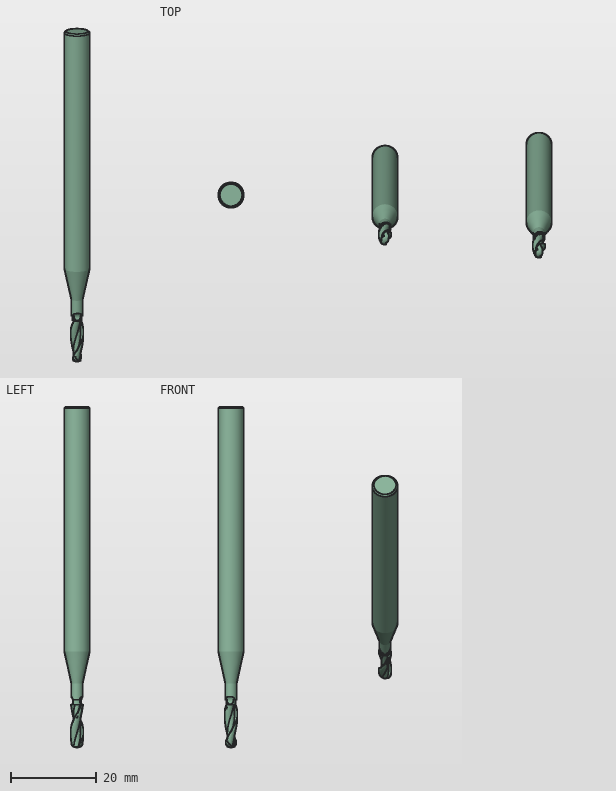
import cadquery as cq
import math

total_length = 80.0
shank_diameter = 6.0
shank_chamfer = 0.4
taper_top = 22.5
taper_bottom = 15.0
neck_diameter = 2.7
neck_end = 11.2
stub_diameter = 2.2
cutter_length = 10.1
cutter_diameter = 3.0
core_diameter = 1.7
helix_angle = 30.0
flute_count = 2
edge_angle_at_tip = 5.0
relief_angle = 100.0
relief_mid_radius = 1.4
rake_root_angle = 12.0
runout_radius = 1.2
runout_height = 11.0
runout_depth_center = 2.0
runout_angle = -102.0

cutter_radius = cutter_diameter / 2
core_radius = core_diameter / 2
helix_pitch = math.pi * cutter_diameter / math.tan(math.radians(helix_angle))


def polar(radius, angle):
    """Point at the given radius and angle in degrees."""
    return radius * math.cos(math.radians(angle)), radius * math.sin(math.radians(angle))


def make_flute_section():
    """Cross-section with one rounded relief and one rake face per cutting edge."""
    step = 360.0 / flute_count
    section = cq.Workplane("XY").moveTo(*polar(cutter_radius, edge_angle_at_tip))
    for index in range(flute_count):
        edge = edge_angle_at_tip + index * step
        next_edge = edge + step
        next_root = next_edge + rake_root_angle
        relief_end = edge + relief_angle
        section = section.threePointArc(
            polar(relief_mid_radius, edge + relief_angle / 2), polar(core_radius, relief_end)
        )
        section = section.threePointArc(
            polar(core_radius, (relief_end + next_root) / 2), polar(core_radius, next_root)
        )
        if index < flute_count - 1:
            section = section.lineTo(*polar(cutter_radius, next_edge))
    return section.close()


def make_cutter():
    """Fluted right-hand cutter with a ball nose."""
    twist = 360.0 * cutter_length / helix_pitch
    fluted = make_flute_section().twistExtrude(cutter_length, twist)
    ball_side = cutter_radius * math.sqrt(0.5)
    envelope = (
        cq.Workplane("XZ")
        .threePointArc((ball_side, cutter_radius - ball_side), (cutter_radius, cutter_radius))
        .lineTo(cutter_radius, cutter_length)
        .lineTo(0, cutter_length)
        .close()
        .revolve(360, (0, 0), (0, 1))
    )
    return fluted.intersect(envelope)


def make_runout(angle):
    """Horizontal round cutter that scoops the neck from the given direction."""
    return (
        cq.Workplane("XZ")
        .center(0, runout_height)
        .circle(runout_radius)
        .extrude(neck_diameter / 2, both=True)
        .rotate((0, 0, 0), (0, 0, 1), 90)
        .translate((0, runout_depth_center, 0))
        .rotate((0, 0, 0), (0, 0, 1), angle - 90)
    )


def make_shank():
    """Chamfered shank, taper and neck, with a thinner stub where the flutes run out."""
    shank_radius = shank_diameter / 2
    neck_radius = neck_diameter / 2
    stub_radius = stub_diameter / 2
    profile = [
        (0, cutter_length),
        (stub_radius, cutter_length),
        (stub_radius, neck_end),
        (neck_radius, neck_end),
        (neck_radius, taper_bottom),
        (shank_radius, taper_top),
        (shank_radius, total_length - shank_chamfer),
        (shank_radius - shank_chamfer, total_length),
        (0, total_length),
    ]
    body = cq.Workplane("XZ").polyline(profile).close().revolve(360, (0, 0), (0, 1))
    for index in range(flute_count):
        body = body.cut(make_runout(runout_angle + index * 360.0 / flute_count))
    return body


shank = make_shank()
cutter = make_cutter()

result = cq.Compound.makeCompound([shank.val(), cutter.val()])